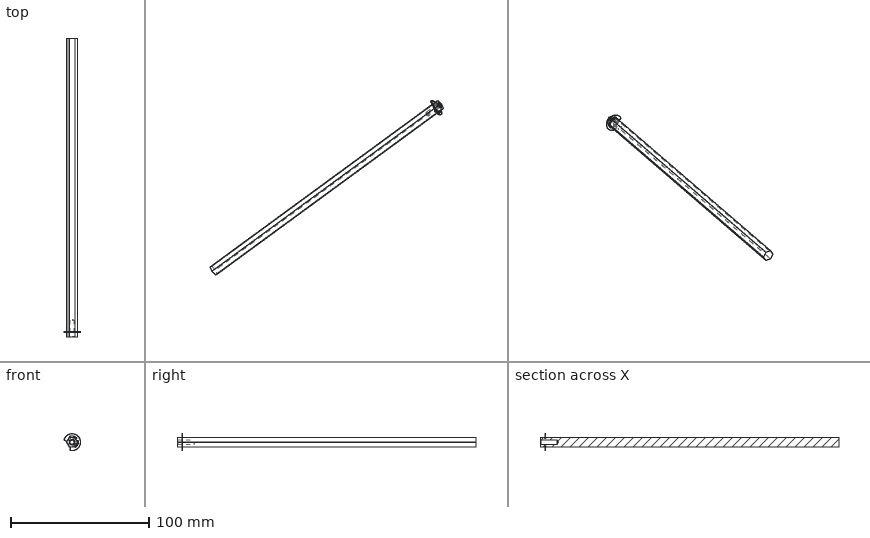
import cadquery as cq
import math

shaft_length = 216.0
hex_sides = 6
hex_across_flats = 7.0
shaft_diameter = 8.0

hole_diameter = 3.0
hole_depth = 12.0
hole_mouth_diameter = 4.0
drill_point_angle = 118.0

groove_diameter = 6.0
groove_start = 3.2
groove_width = 0.7
clip_thickness = 0.6
clip_diameter = 12.3
clip_recess_radius = 4.4
clip_opening_direction = 210.0
clip_outer_opening_angle = 91.5
clip_inner_opening_angle = 60.0
clip_back_prong_angle = 26.0
clip_side_prong_angle = 48.0

groove_end = groove_start + groove_width
clip_front = groove_end - clip_thickness
clip_back_direction = clip_opening_direction - 180


def cylinder(diameter, start, length):
    """Solid cylinder on the shaft axis, running toward +Y from Y = start."""
    plane = cq.Workplane("XZ", origin=(0, start, 0))
    return plane.circle(diameter / 2).extrude(-length)


def polar(radius, angle):
    """Point in the XZ plane at the given angle in degrees from +X toward +Z."""
    return (radius * math.cos(math.radians(angle)), radius * math.sin(math.radians(angle)))


def make_hole():
    """Blind hole with a chamfered mouth and a conical drill point, as a cutting solid."""
    radius = hole_diameter / 2
    mouth_radius = hole_mouth_diameter / 2
    mouth_depth = mouth_radius - radius
    point_depth = radius / math.tan(math.radians(drill_point_angle / 2))
    profile = (
        cq.Workplane("XY")
        .moveTo(0, 0)
        .lineTo(mouth_radius, 0)
        .lineTo(radius, mouth_depth)
        .lineTo(radius, hole_depth)
        .lineTo(0, hole_depth + point_depth)
        .close()
    )
    return profile.revolve(360, (0, 0, 0), (0, 1, 0))


def make_shaft():
    """Hexagonal bar with rounded corners, a ring groove and an end hole."""
    hex_corner_diameter = hex_across_flats / math.cos(math.pi / hex_sides)
    bar = cq.Workplane("XZ").polygon(hex_sides, hex_corner_diameter).extrude(-shaft_length)
    bar = bar.intersect(cylinder(shaft_diameter, 0, shaft_length))
    groove_cutter_diameter = 2 * shaft_diameter
    groove = cylinder(groove_cutter_diameter, groove_start, groove_width).cut(
        cylinder(groove_diameter, groove_start, groove_width)
    )
    return bar.cut(groove).cut(make_hole())


def ring_sector(inner_radius, outer_radius, start_angle, end_angle):
    """Flat sector of a ring, one clip thickness deep, between two angles."""
    middle_angle = (start_angle + end_angle) / 2
    outline = (
        cq.Workplane("XZ", origin=(0, clip_front, 0))
        .moveTo(*polar(inner_radius, start_angle))
        .lineTo(*polar(outer_radius, start_angle))
        .threePointArc(polar(outer_radius, middle_angle), polar(outer_radius, end_angle))
        .lineTo(*polar(inner_radius, end_angle))
        .threePointArc(polar(inner_radius, middle_angle), polar(inner_radius, start_angle))
        .close()
    )
    return outline.extrude(-clip_thickness)


def opening_corners(radius, opening_angle):
    """The two points at a radius where the clip's opening begins and ends."""
    start = clip_opening_direction + opening_angle / 2
    return polar(radius, start), polar(radius, start - opening_angle)


def clip_blank():
    """Open ring with flared ends, from the bottom of the groove to the outer rim."""
    inner_radius = groove_diameter / 2
    outer_radius = clip_diameter / 2
    inner_start, inner_end = opening_corners(inner_radius, clip_inner_opening_angle)
    outer_start, outer_end = opening_corners(outer_radius, clip_outer_opening_angle)
    outline = (
        cq.Workplane("XZ", origin=(0, clip_front, 0))
        .moveTo(*inner_start)
        .lineTo(*outer_start)
        .threePointArc(polar(outer_radius, clip_back_direction), outer_end)
        .lineTo(*inner_end)
        .threePointArc(polar(inner_radius, clip_back_direction), inner_start)
        .close()
    )
    return outline.extrude(-clip_thickness)


def make_clip():
    """Open ring whose three prongs reach in to the bottom of the groove."""
    half_back = clip_back_prong_angle / 2
    tip = 180 - clip_outer_opening_angle / 2
    side_start = tip - clip_side_prong_angle
    recess_start_radius = groove_diameter / 4
    clip = clip_blank()
    for first, last in ((half_back, side_start), (-side_start, -half_back)):
        recess = ring_sector(
            recess_start_radius,
            clip_recess_radius,
            clip_back_direction + first,
            clip_back_direction + last,
        )
        clip = clip.cut(recess)
    return clip


shaft = make_shaft()
clip = make_clip()
result = cq.Compound.makeCompound([shaft.val(), clip.val()])